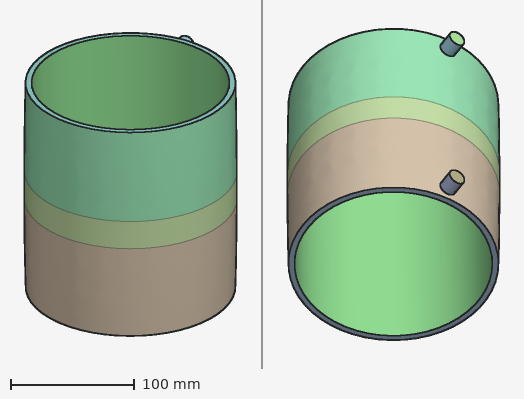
import cadquery as cq
import math

sleeve_height = 187.0
bore_radius = 80.0
band_radius = 86.0
end_radius = 85.0
band_height = 25.0

peg_diameter = 14.0
peg_end_inset = 5.0
peg_tip_y = 99.75

half_height = sleeve_height / 2
half_band = band_height / 2

crown_length = half_height - half_band
crown_drop = band_radius - end_radius
crown_arc_radius = (crown_length**2 + crown_drop**2) / (2 * crown_drop)
crown_mid_drop = crown_arc_radius - math.sqrt(crown_arc_radius**2 - (crown_length / 2) ** 2)
crown_mid_radius = band_radius - crown_mid_drop
crown_mid_z = half_band + crown_length / 2

peg_root_y = (bore_radius + end_radius) / 2
peg_offset_z = half_height - peg_end_inset - peg_diameter / 2


def make_sleeve():
    """Revolve the wall section: a cylindrical band with a crowned wall above and below it."""
    wall_section = (
        cq.Workplane("XZ")
        .moveTo(bore_radius, -half_height)
        .lineTo(end_radius, -half_height)
        .threePointArc((crown_mid_radius, -crown_mid_z), (band_radius, -half_band))
        .lineTo(band_radius, half_band)
        .threePointArc((crown_mid_radius, crown_mid_z), (end_radius, half_height))
        .lineTo(bore_radius, half_height)
        .close()
    )
    return wall_section.revolve(360, (0, 0, 0), (0, 1, 0))


def make_peg(center_z):
    """Round stud pointing along +Y, from inside the wall out to its flat tip."""
    return (
        cq.Workplane("XZ", origin=(0, peg_tip_y, center_z))
        .circle(peg_diameter / 2)
        .extrude(peg_tip_y - peg_root_y)
    )


result = make_sleeve()
for peg_z in (-peg_offset_z, peg_offset_z):
    result = result.union(make_peg(peg_z))